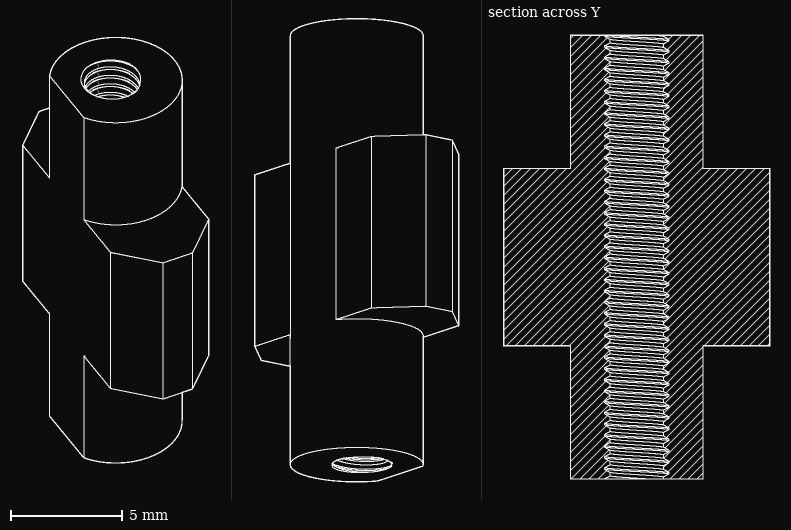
import cadquery as cq
import math

part_height = 20.0
plate_length = 12.0
plate_depth = 5.0
plate_height = 8.0
plate_chamfer = 1.75
post_diameter = 6.0
flat_y = -plate_depth / 2
bore_diameter = 2.52
bore_y = -0.175
thread_diameter = 3.0
thread_pitch = 0.5
thread_half_angle = 30.0
root_width = thread_pitch / 8
root_angle_at_top = 180.0
groove_overlap = 0.05
extra_turns = 1


def make_plate():
    return (
        cq.Workplane("XY")
        .box(plate_length, plate_depth, plate_height)
        .edges("|Z")
        .chamfer(plate_chamfer)
    )


def make_post():
    post = cq.Workplane("XY").circle(post_diameter / 2).extrude(part_height / 2, both=True)
    front_waste = (
        cq.Workplane("XY")
        .box(post_diameter, post_diameter, part_height)
        .translate((0, flat_y - post_diameter / 2, 0))
    )
    return post.cut(front_waste)


def make_bore():
    return (
        cq.Workplane("XY")
        .center(0, bore_y)
        .circle(bore_diameter / 2)
        .extrude(part_height / 2, both=True)
    )


def make_thread_groove():
    """Right-handed V groove with a narrow flat root, running a little past both ends of the bore."""
    inner_radius = bore_diameter / 2 - groove_overlap
    root_radius = thread_diameter / 2
    flank_rise = (root_radius - inner_radius) * math.tan(math.radians(thread_half_angle))
    root_half = root_width / 2
    mouth_half = root_half + flank_rise
    turn = cq.Wire.makeHelix(thread_pitch, thread_pitch, inner_radius)
    turn_count = math.ceil(part_height / thread_pitch) + 2 * extra_turns
    turns = [turn.translate(cq.Vector(0, 0, index * thread_pitch)) for index in range(turn_count)]
    helix = cq.Wire.combine(turns)[0]
    profile = cq.Workplane("XZ").polyline(
        [
            (inner_radius, -mouth_half),
            (root_radius, -root_half),
            (root_radius, root_half),
            (inner_radius, mouth_half),
        ]
    ).close()
    groove = profile.sweep(cq.Workplane(helix), isFrenet=True)
    helix_top = part_height / 2 + extra_turns * thread_pitch
    helix_start = helix_top - turn_count * thread_pitch
    return groove.rotate((0, 0, 0), (0, 0, 1), root_angle_at_top).translate((0, bore_y, helix_start))


body = make_plate().union(make_post()).cut(make_bore())
result = body.cut(make_thread_groove()).solids()